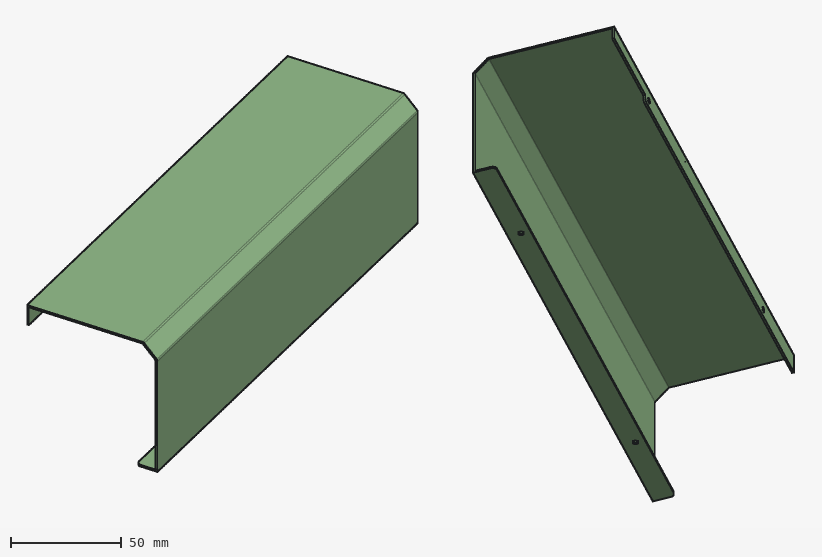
import cadquery as cq

length = 235.0
side = 68.0
thickness = 1.0
bend_inner_radius = 0.2
bevel = 7.3
lip_depth = 10.5
relieved_lip_depth = 7.0
relief_length = 40.7
flange_width = 10.8
corner_radius = 2.0
hole_diameter = 2.5
hole_edge_distance = 6.3
first_hole_y = 40.0
hole_pitch = 149.5

hole_ys = [first_hole_y, first_hole_y + hole_pitch]
bevel_inner = bevel - thickness * (2 - 2**0.5)


def round_bends(sheet, corners, radius):
    """Fillet the lengthwise edges that pass through the given (x, z) corners."""
    for x, z in corners:
        corner = cq.selectors.NearestToPointSelector((x, length / 2, z))
        sheet = sheet.edges("|Y").edges(corner).fillet(radius)
    return sheet


def folded_sheet():
    """Cross-section extruded along Y, from Y = 0 to the full length."""
    inner_far = side - thickness
    bevel_start = inner_far - bevel_inner
    outline = [
        (0, side),
        (side - bevel, side),
        (side, side - bevel),
        (side, 0),
        (side - flange_width, 0),
        (side - flange_width, thickness),
        (inner_far, thickness),
        (inner_far, bevel_start),
        (bevel_start, inner_far),
        (thickness, inner_far),
        (thickness, side - lip_depth),
        (0, side - lip_depth),
    ]
    sheet = cq.Workplane("XZ").polyline(outline).close().extrude(-length)
    outer_corners = [(side - bevel, side), (side, side - bevel)]
    inner_corners = [(inner_far, bevel_start), (bevel_start, inner_far)]
    sheet = round_bends(sheet, outer_corners, bend_inner_radius + thickness)
    return round_bends(sheet, inner_corners, bend_inner_radius)


def lip_relief():
    """Block that shortens the lip near the +Y end."""
    return cq.Workplane("XY").box(
        thickness, relief_length, lip_depth - relieved_lip_depth, centered=False
    ).translate((0, length - relief_length, side - lip_depth))


def hole_row_in_lip():
    points = [(y, side - hole_edge_distance) for y in hole_ys]
    return cq.Workplane("YZ").pushPoints(points).circle(hole_diameter / 2).extrude(thickness)


def hole_row_in_flange():
    points = [(side - hole_edge_distance, y) for y in hole_ys]
    return cq.Workplane("XY").pushPoints(points).circle(hole_diameter / 2).extrude(thickness)


sheet = folded_sheet().cut(lip_relief())

lip_corner = cq.selectors.NearestToPointSelector(
    (thickness / 2, length - relief_length, side - lip_depth)
)
sheet = sheet.edges("|X").edges(lip_corner).fillet(corner_radius)

for end_y in (0, length):
    flange_corner = cq.selectors.NearestToPointSelector((side - flange_width, end_y, thickness / 2))
    sheet = sheet.edges("|Z").edges(flange_corner).fillet(corner_radius)

result = sheet.cut(hole_row_in_lip()).cut(hole_row_in_flange())